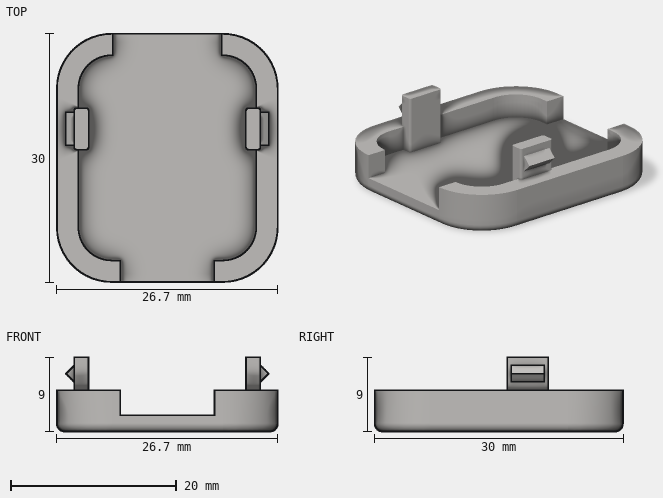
import cadquery as cq

LENGTH_X = 26.7
LENGTH_Y = 30.0
CORNER_RADIUS = 6.65
WALL_THICKNESS = 2.6
FLOOR_HEIGHT = 2.0
WALL_TOP = 5.0
BOTTOM_FILLET = 1.0

FRONT_OPENING_WIDTH = 11.35
BACK_OPENING_WIDTH = 13.2

TAB_TOP = 9.0
TAB_THICKNESS = 1.75
TAB_WIDTH = 5.0
TAB_OUTER_X = 11.25
TAB_CENTER_Y = 3.5
TAB_EDGE_FILLET = 0.3

CATCH_WIDTH = 4.0
CATCH_HEIGHT = 2.0
CATCH_DEPTH = 1.0
CATCH_CENTER_Z = 7.0


def rounded_block(size_x, size_y, radius, bottom, top):
    """Block with rounded vertical edges, centred on the Z axis."""
    block = cq.Workplane("XY").workplane(offset=bottom).rect(size_x, size_y).extrude(top - bottom)
    return block.edges("|Z").fillet(radius)


def make_tray():
    outer = rounded_block(LENGTH_X, LENGTH_Y, CORNER_RADIUS, 0, WALL_TOP)
    outer = outer.faces("<Z").edges().fillet(BOTTOM_FILLET)
    cavity = rounded_block(
        LENGTH_X - 2 * WALL_THICKNESS,
        LENGTH_Y - 2 * WALL_THICKNESS,
        CORNER_RADIUS - WALL_THICKNESS,
        FLOOR_HEIGHT,
        WALL_TOP,
    )
    return outer.cut(cavity)


def end_opening(width, end):
    """Cutter from the tray centre out through one end wall; end is -1 (front) or +1 (back)."""
    reach = LENGTH_Y / 2
    return (
        cq.Workplane("XY")
        .workplane(offset=FLOOR_HEIGHT)
        .center(0, end * reach / 2)
        .rect(width, reach)
        .extrude(WALL_TOP - FLOOR_HEIGHT)
    )


def make_tab():
    """Snap tab with its catch, on the +X side."""
    post = (
        rounded_block(TAB_THICKNESS, TAB_WIDTH, TAB_EDGE_FILLET, FLOOR_HEIGHT, TAB_TOP)
        .translate((TAB_OUTER_X - TAB_THICKNESS / 2, TAB_CENTER_Y, 0))
    )
    catch = (
        cq.Workplane("XZ", origin=(0, TAB_CENTER_Y, 0))
        .moveTo(TAB_OUTER_X, CATCH_CENTER_Z - CATCH_HEIGHT / 2)
        .lineTo(TAB_OUTER_X + CATCH_DEPTH, CATCH_CENTER_Z)
        .lineTo(TAB_OUTER_X, CATCH_CENTER_Z + CATCH_HEIGHT / 2)
        .close()
        .extrude(CATCH_WIDTH / 2, both=True)
    )
    return post.union(catch)


tray = make_tray()
tray = tray.cut(end_opening(FRONT_OPENING_WIDTH, -1))
tray = tray.cut(end_opening(BACK_OPENING_WIDTH, 1))

tab = make_tab()
result = tray.union(tab).union(tab.mirror("YZ"))